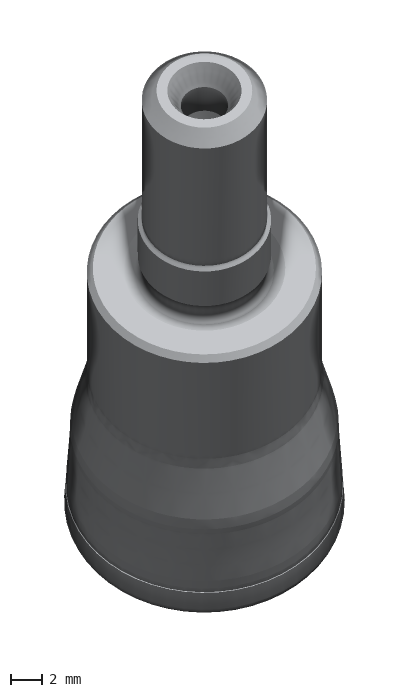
import cadquery as cq
import math

total_height = 43.0

stem_radius = 8.0 / 2
stem_chamfer = 0.95
collar_radius = 8.5 / 2
collar_top = 30.25
collar_bottom = 26.25
collar_chamfer = collar_radius - stem_radius
stem_fillet = 0.45

hole_radius = 3.0 / 2
hole_depth = 3.85
countersink_radius = 2.35
countersink_half_angle = math.radians(30)
drill_half_angle = math.radians(59)

shoulder_z = 25.1
shoulder_chamfer = 0.4
dish_radius = 5.15
dish_depth = 0.25
barrel_radius = 15.0 / 2
barrel_bottom = 14.6
flare_radius = 17.15 / 2
flare_bottom = 9.7
flare_fillet = 4.1
skirt_top = 8.77
skirt_draft = math.radians(3)
band_top = 4.35
band_draft = math.radians(1.5)
band_bottom = 3.6

neck_radius = 8.8
foot_shoulder_z = 3.22
foot_rim_z = 1.65
corner_bottom_z = 1.0
corner_inset = 0.3
sole_flat_radius = 5.95


def skirt_radius(z):
    """Radius of the drafted cone shared by the skirt and the foot."""
    return flare_radius + (skirt_top - z) * math.tan(skirt_draft)


def make_housing():
    """Stem and flared housing, turned as one piece."""
    dish_z = shoulder_z - dish_depth
    band_radius = skirt_radius(band_top) + (band_top - band_bottom) * math.tan(band_draft)
    fillet_mid = stem_fillet * (1 - math.sqrt(0.5))
    profile = (
        cq.Workplane("XZ")
        .moveTo(0, band_bottom)
        .lineTo(band_radius, band_bottom)
        .lineTo(skirt_radius(band_top), band_top)
        .lineTo(flare_radius, skirt_top)
        .lineTo(flare_radius, flare_bottom)
        .lineTo(barrel_radius, barrel_bottom)
        .lineTo(barrel_radius, shoulder_z - shoulder_chamfer)
        .lineTo(barrel_radius - shoulder_chamfer, shoulder_z)
        .lineTo(dish_radius, shoulder_z)
        .lineTo(stem_radius + stem_fillet, dish_z)
        .threePointArc(
            (stem_radius + fillet_mid, dish_z + fillet_mid),
            (stem_radius, dish_z + stem_fillet),
        )
        .lineTo(stem_radius, collar_bottom)
        .lineTo(collar_radius, collar_bottom + collar_chamfer)
        .lineTo(collar_radius, collar_top - collar_chamfer)
        .lineTo(stem_radius, collar_top)
        .lineTo(stem_radius, total_height - stem_chamfer)
        .lineTo(stem_radius - stem_chamfer, total_height)
        .lineTo(0, total_height)
        .close()
    )
    housing = profile.revolve(360, (0, 0), (0, 1))
    return round_flare(housing).cut(make_centre_hole())


def round_flare(housing):
    """Blend the flare cone into the barrel above and the straight band below."""
    margin = 0.05
    reach = flare_radius + margin
    flare_edges = cq.selectors.BoxSelector(
        (-reach, -reach, flare_bottom - margin),
        (reach, reach, barrel_bottom + margin),
        boundingbox=True,
    )
    return housing.edges(flare_edges).edges("%CIRCLE").fillet(flare_fillet)


def make_centre_hole():
    """Countersunk blind hole with a drill-point bottom."""
    countersink_depth = (countersink_radius - hole_radius) / math.tan(countersink_half_angle)
    tip_depth = hole_radius / math.tan(drill_half_angle)
    hole_bottom = total_height - hole_depth
    return (
        cq.Workplane("XZ")
        .moveTo(0, total_height)
        .lineTo(countersink_radius, total_height)
        .lineTo(hole_radius, total_height - countersink_depth)
        .lineTo(hole_radius, hole_bottom)
        .lineTo(0, hole_bottom - tip_depth)
        .close()
        .revolve(360, (0, 0), (0, 1))
    )


def make_foot():
    """Drafted foot with a short neck under the housing, a rounded corner and a sole curving to a flat centre."""
    rim_radius = skirt_radius(foot_rim_z)
    corner_radius = rim_radius - corner_inset
    sole_span = corner_radius - sole_flat_radius
    sole_arc = (sole_span**2 + corner_bottom_z**2) / (2 * corner_bottom_z)
    half_sweep = math.asin(sole_span / sole_arc) / 2
    sole_mid = (
        sole_flat_radius + sole_arc * math.sin(half_sweep),
        sole_arc * (1 - math.cos(half_sweep)),
    )
    return (
        cq.Workplane("XZ")
        .moveTo(0, 0)
        .lineTo(sole_flat_radius, 0)
        .threePointArc(sole_mid, (corner_radius, corner_bottom_z))
        .tangentArcPoint((rim_radius, foot_rim_z), relative=False)
        .lineTo(skirt_radius(foot_shoulder_z), foot_shoulder_z)
        .lineTo(neck_radius, foot_shoulder_z)
        .lineTo(neck_radius, band_bottom)
        .lineTo(0, band_bottom)
        .close()
        .revolve(360, (0, 0), (0, 1))
    )


housing = make_housing()
foot = make_foot()

result = cq.Compound.makeCompound([housing.val(), foot.val()])